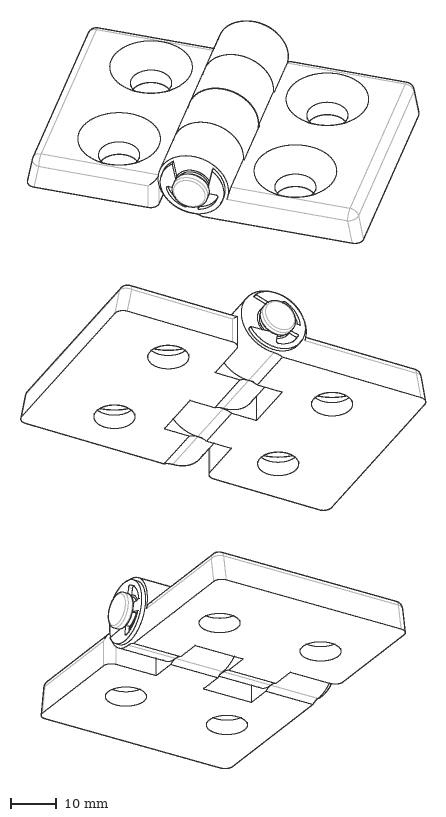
import cadquery as cq
import math

HINGE_LENGTH = 75.95
PIN_LENGTH = 54.2

LEAF_WIDTH = 48.4
LEAF_THICKNESS = 8.05
OUTER_DRAFT = 10.0
EDGE_RADIUS = 2.0
HALF_WIDTH = LEAF_WIDTH / 2
HALF_HINGE = HINGE_LENGTH / 2

HINGE_HEIGHT = 16.5
KNUCKLE_RADIUS = 8.0
KNUCKLE_LENGTH = 12.0
AXIS_HEIGHT = HINGE_HEIGHT - KNUCKLE_RADIUS
POCKET_WALL = KNUCKLE_RADIUS + 0.2
HEEL_OFFSET = 2.1
LEAF_SHIFT = HALF_WIDTH - 2 * KNUCKLE_LENGTH

HOLE_DIAMETER = 9.0
COUNTERSINK_DIAMETER = 18.0
COUNTERSINK_ANGLE = 90.0
HOLE_AXIS_DISTANCE = 20.0
HOLE_SPACING = 25.7
HOLE_OFFSET = 0.2

PIN_RADIUS = 4.0
GROOVE_RADIUS = 3.6
PIN_EDGE_RADIUS = PIN_RADIUS - GROOVE_RADIUS

CLIP_RADIUS = 7.2
CLIP_THICKNESS = 1.0
CLIP_POCKET_RADIUS = 6.0
CLIP_POCKET_TOP = -0.9
MOUTH_HALF_BASE = 3.4
MOUTH_HALF_RIM = 4.8
TOOTH_HALF_TIP = 1.1
TOOTH_HALF_ROOT = 1.45
CLIP_CORNER_RADIUS = 0.45
BACK_CLIP_TURN = 82.0

BACK_FACE = HALF_WIDTH
FRONT_FACE = LEAF_SHIFT - HALF_WIDTH


def axial_cylinder(radius, y_start, y_end):
    """Cylinder around the hinge axis between two Y positions."""
    return (
        cq.Workplane("XZ", origin=(0, y_start, AXIS_HEIGHT))
        .circle(radius)
        .extrude(y_start - y_end)
    )


def span_box(x_range, y_range, z_range):
    """Box given by its limits along each axis."""
    (x0, x1), (y0, y1), (z0, z1) = x_range, y_range, z_range
    return cq.Workplane("XY").box(x1 - x0, y1 - y0, z1 - z0, centered=False).translate((x0, y0, z0))


def leaf_plate():
    """Plate reaching from the leaning outer wall to the hinge axis, rounded along its outside."""
    lean = LEAF_THICKNESS * math.tan(math.radians(OUTER_DRAFT))
    heel_rise = AXIS_HEIGHT - KNUCKLE_RADIUS
    arc_radius = (HEEL_OFFSET**2 + heel_rise**2) / (2 * heel_rise)
    mid_x = HEEL_OFFSET / 2
    mid_z = heel_rise - arc_radius + math.sqrt(arc_radius**2 - mid_x**2)
    plate = (
        cq.Workplane("XZ", origin=(0, HALF_WIDTH, 0))
        .moveTo(-HALF_HINGE, 0)
        .lineTo(-HALF_HINGE + lean, LEAF_THICKNESS)
        .lineTo(0, LEAF_THICKNESS)
        .lineTo(0, heel_rise)
        .threePointArc((-mid_x, mid_z), (-HEEL_OFFSET, 0))
        .close()
        .extrude(LEAF_WIDTH)
    )
    outer_wall = plate.faces("<X").edges("not <Z")
    top_sides = plate.faces(">Z").edges("|X")
    return plate.newObject(outer_wall.vals() + top_sides.vals()).fillet(EDGE_RADIUS)


def leaf_footprint():
    """Block with the leaf's plan outline: open pockets beside the two knuckles, one rounded corner."""
    height = (0, HINGE_HEIGHT)
    footprint = span_box((-HALF_HINGE, KNUCKLE_RADIUS), (-HALF_WIDTH, HALF_WIDTH), height)
    for pocket_start, pocket_end in (
        (-HALF_WIDTH, -KNUCKLE_LENGTH),
        (0, HALF_WIDTH - KNUCKLE_LENGTH),
    ):
        pocket = span_box((-POCKET_WALL, KNUCKLE_RADIUS), (pocket_start, pocket_end), height)
        footprint = footprint.cut(pocket)
    corner = cq.selectors.NearestToPointSelector((-POCKET_WALL, -HALF_WIDTH, HINGE_HEIGHT / 2))
    return footprint.edges("|Z").edges(corner).fillet(EDGE_RADIUS)


def make_leaf():
    """Leaf on the -X side with its two knuckles, pin bore and screw holes."""
    leaf = leaf_plate().intersect(leaf_footprint())
    for knuckle_end in (HALF_WIDTH, 0):
        leaf = leaf.union(axial_cylinder(KNUCKLE_RADIUS, knuckle_end - KNUCKLE_LENGTH, knuckle_end))
    leaf = leaf.cut(axial_cylinder(PIN_RADIUS, -HALF_WIDTH, HALF_WIDTH))
    hole_centers = [
        (-HOLE_AXIS_DISTANCE, HOLE_OFFSET + side * HOLE_SPACING / 2) for side in (-1, 1)
    ]
    return (
        leaf.copyWorkplane(cq.Workplane("XY", origin=(0, 0, LEAF_THICKNESS)))
        .pushPoints(hole_centers)
        .cskHole(HOLE_DIAMETER, COUNTERSINK_DIAMETER, COUNTERSINK_ANGLE)
    )


def make_pin():
    """Pin with a clip groove just outside each end of the knuckle row and a rounded head beyond it."""
    half_pin = PIN_LENGTH / 2
    pin = axial_cylinder(PIN_RADIUS, FRONT_FACE, BACK_FACE)
    for face, outward in ((FRONT_FACE, -1), (BACK_FACE, 1)):
        head_start = face + outward * CLIP_THICKNESS
        neck = axial_cylinder(GROOVE_RADIUS, face, head_start)
        head = axial_cylinder(PIN_RADIUS, head_start, outward * half_pin)
        pin = pin.union(neck).union(head.faces("|Y").edges().fillet(PIN_EDGE_RADIUS))
    return pin


def clip_layer(outline):
    """Sheet of clip thickness, from y = 0 toward +Y, with the given outline in the XZ plane."""
    return outline.extrude(-CLIP_THICKNESS)


def make_clip(y_start, turn):
    """E-shaped clip from y_start toward +Y, its mouth turned from +Z toward +X."""
    plane = cq.Workplane("XZ")
    clip = clip_layer(plane.circle(CLIP_RADIUS).circle(GROOVE_RADIUS))
    mouth = clip_layer(
        plane.polyline([
            (-MOUTH_HALF_BASE, 0),
            (-MOUTH_HALF_RIM, CLIP_RADIUS),
            (MOUTH_HALF_RIM, CLIP_RADIUS),
            (MOUTH_HALF_BASE, 0),
        ]).close()
    )
    below = span_box(
        (-CLIP_RADIUS, CLIP_RADIUS), (0, CLIP_THICKNESS), (-CLIP_RADIUS, CLIP_POCKET_TOP)
    )
    tooth = clip_layer(
        plane.polyline([
            (-TOOTH_HALF_TIP, 0),
            (-TOOTH_HALF_TIP, -GROOVE_RADIUS),
            (-TOOTH_HALF_ROOT, -CLIP_POCKET_RADIUS),
            (TOOTH_HALF_ROOT, -CLIP_POCKET_RADIUS),
            (TOOTH_HALF_TIP, -GROOVE_RADIUS),
            (TOOTH_HALF_TIP, 0),
        ]).close()
    )
    pockets = clip_layer(plane.circle(CLIP_POCKET_RADIUS)).intersect(below).cut(tooth)
    pocket_corners = cq.selectors.BoxSelector(
        (-CLIP_RADIUS, 0, -CLIP_RADIUS), (-GROOVE_RADIUS, CLIP_THICKNESS, 0)
    ) + cq.selectors.BoxSelector(
        (GROOVE_RADIUS, 0, -CLIP_RADIUS), (CLIP_RADIUS, CLIP_THICKNESS, 0)
    )
    pockets = pockets.edges("|Y").edges(pocket_corners).fillet(CLIP_CORNER_RADIUS)
    clip = clip.cut(mouth).cut(pockets)
    return clip.rotate((0, 0, 0), (0, 1, 0), turn).translate((0, y_start, AXIS_HEIGHT))


leaves = [
    make_leaf().rotate((0, 0, 0), (0, 0, 1), turn).translate((0, shift, 0))
    for turn, shift in ((0, 0), (180, LEAF_SHIFT))
]
pin = make_pin()
clips = [
    make_clip(y_start, turn)
    for y_start, turn in ((FRONT_FACE - CLIP_THICKNESS, 0), (BACK_FACE, BACK_CLIP_TURN))
]

result = cq.Compound.makeCompound([body.val() for body in [*leaves, pin, *clips]])